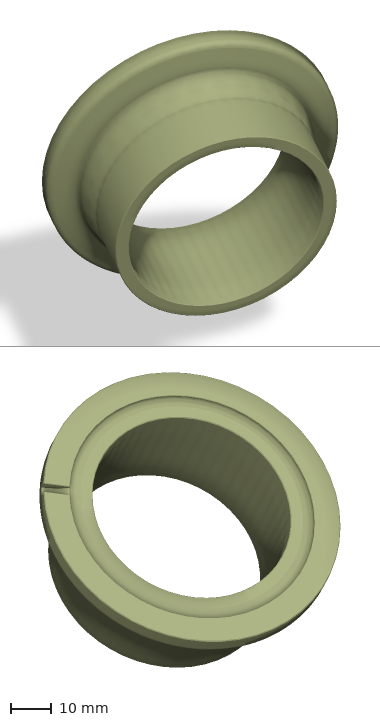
import cadquery as cq
import math

length = 30.0
flange_radius = 37.5
tube_radius = 28.5
bore_radius = 50.0 / 2

back_angle = 15.0
rim_fillet = 1.7
neck_start = 7.0
neck_radius = 30.2
neck_end = 15.3
neck_fillet = 1.0
rim_end = neck_start - (flange_radius - neck_radius) * math.tan(math.radians(back_angle))
edge_break = 0.2
edge_tolerance = 0.01

groove_outer_radius = 30.9
groove_inner_radius = 28.1
lip_setback = 0.4
groove_depth = 1.1
groove_root_fillet = 0.6
groove_lip_fillet = 0.15

slot_width = 2.25
slot_depth = 2.1
slot_arc_radius = 15.0
slot_edge_break = 0.15


def revolved_body():
    """Flange, conical neck and tube, bored through and grooved at the face."""
    profile = [
        (groove_depth, groove_outer_radius),
        (0, groove_outer_radius),
        (0, flange_radius),
        (rim_end, flange_radius),
        (neck_start, neck_radius),
        (neck_end, tube_radius),
        (length, tube_radius),
        (length, bore_radius),
        (lip_setback, bore_radius),
        (lip_setback, groove_inner_radius),
    ]
    return cq.Workplane("XY").polyline(profile).close().revolve(360, (0, 0, 0), (1, 0, 0))


class CircleAt(cq.selectors.Selector):
    """Picks the circular edge of a given radius centred at x on the axis."""

    def __init__(self, x, radius):
        self.x = x
        self.radius = radius

    def filter(self, edges):
        circles = [edge for edge in edges if edge.geomType() == "CIRCLE"]
        return [edge for edge in circles if self.matches(edge)]

    def matches(self, edge):
        offset = abs(edge.Center().x - self.x)
        return max(offset, abs(edge.radius() - self.radius)) < edge_tolerance


def rounded_edges(body):
    """Round the rim, neck root and groove, then bevel the sharp outer and bore edges."""
    body = body.edges(CircleAt(rim_end, flange_radius)).fillet(rim_fillet)
    body = body.edges(CircleAt(neck_start, neck_radius)).fillet(neck_fillet)
    body = body.edges(CircleAt(groove_depth, groove_outer_radius)).fillet(groove_root_fillet)
    body = body.edges(CircleAt(0, groove_outer_radius)).fillet(groove_lip_fillet)
    body = body.edges(CircleAt(0, flange_radius)).chamfer(edge_break)
    for radius in (tube_radius, bore_radius):
        body = body.edges(CircleAt(length, radius)).chamfer(edge_break)
    return body.edges(CircleAt(lip_setback, bore_radius)).chamfer(edge_break)


def slot_cutter():
    """Disc that leaves a curved slot floor, deepest at the flange rim."""
    return (
        cq.Workplane("XY")
        .center(slot_depth - slot_arc_radius, flange_radius)
        .circle(slot_arc_radius)
        .extrude(slot_width / 2, both=True)
    )


def slot_bevel_cutter():
    """Radial prism that bevels both long edges of the slot at the flange face."""
    half_width = slot_width / 2
    section = [
        (0, -half_width - slot_edge_break),
        (0, half_width + slot_edge_break),
        (slot_edge_break, half_width),
        (slot_edge_break, -half_width),
    ]
    wall_to_rim = flange_radius - groove_outer_radius
    plane = cq.Workplane("XZ", origin=(0, groove_outer_radius, 0))
    return plane.polyline(section).close().extrude(-wall_to_rim)


ferrule = rounded_edges(revolved_body())
result = ferrule.cut(slot_cutter()).cut(slot_bevel_cutter())